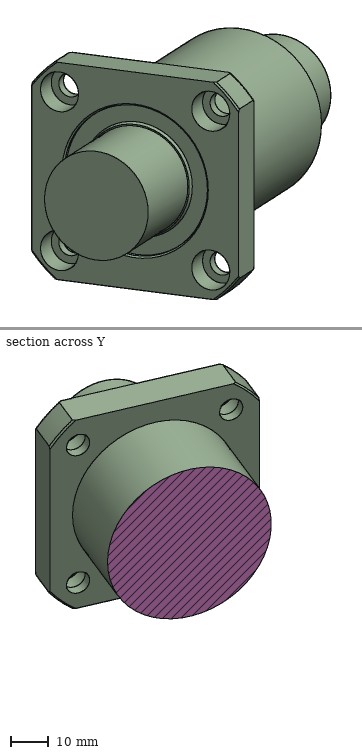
import cadquery as cq
shaft_diameter = 30.0
shaft_length = 118
body_diameter = 47.0
body_length = 68.0

flange_width = 60.0
flange_thickness = 10.0
corner_diameter = 76.0
corner_chamfer = 0.5

hole_diameter = 6.6
counterbore_diameter = 11.0
counterbore_depth = 7.0
hole_spacing = 43.8

recess_diameter = 41.4
recess_depth = 1.5
rim_chamfer = 0.5

lip_base_diameter = 31.7
lip_tip_diameter = 30.8
lip_height = 1.0

front_face = -body_length / 2


def cylinder(diameter, start, length):
    """Cylinder on the part axis, running from Y = start toward +Y."""
    return cq.Workplane("XZ", origin=(0, start, 0)).circle(diameter / 2).extrude(-length)


def make_flange():
    block = (
        cq.Workplane("XZ", origin=(0, front_face, 0))
        .rect(flange_width, flange_width)
        .extrude(-flange_thickness)
    )
    turned_disc = (
        cylinder(corner_diameter, front_face, flange_thickness).edges().chamfer(corner_chamfer)
    )
    return block.intersect(turned_disc)


def make_mounting_holes():
    holes = cq.Workplane("XZ")
    for diameter, depth in (
        (hole_diameter, flange_thickness),
        (counterbore_diameter, counterbore_depth),
    ):
        holes = holes.add(
            cq.Workplane("XZ", origin=(0, front_face, 0))
            .rect(hole_spacing, hole_spacing, forConstruction=True)
            .vertices()
            .circle(diameter / 2)
            .extrude(-depth)
        )
    return holes.combine()


def make_seal_recess():
    """Revolved cutter for the recess that leaves the tapered lip standing."""
    recess_floor = front_face + recess_depth
    lip_tip = recess_floor - lip_height
    return (
        cq.Workplane("XY")
        .moveTo(0, front_face)
        .lineTo(recess_diameter / 2 + rim_chamfer, front_face)
        .lineTo(recess_diameter / 2, front_face + rim_chamfer)
        .lineTo(recess_diameter / 2, recess_floor)
        .lineTo(lip_base_diameter / 2, recess_floor)
        .lineTo(lip_tip_diameter / 2, lip_tip)
        .lineTo(0, lip_tip)
        .close()
        .revolve(360, (0, 0, 0), (0, 1, 0))
    )


body = cylinder(body_diameter, front_face, body_length)
shaft = cylinder(shaft_diameter, -shaft_length / 2, shaft_length)

result = (
    make_flange()
    .cut(make_mounting_holes())
    .union(body)
    .cut(make_seal_recess())
    .union(shaft)
)